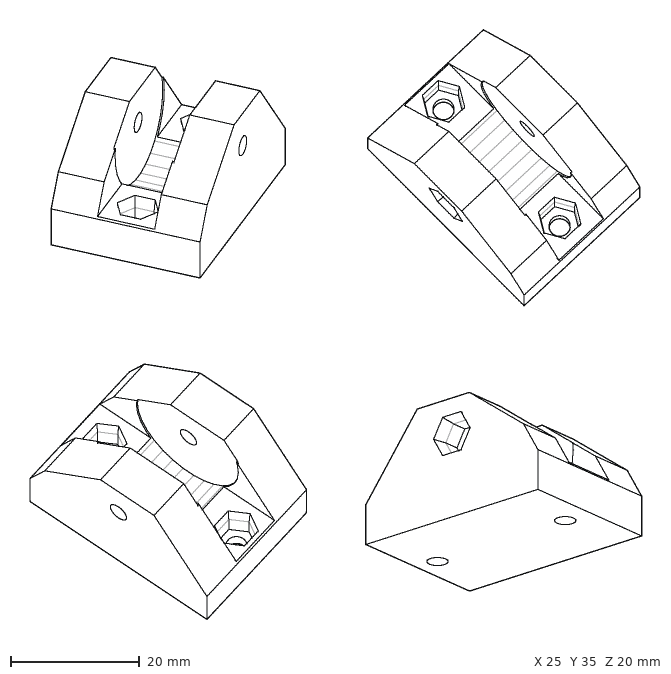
import cadquery as cq
import math

WIDTH = 25.0
LENGTH = 35.0
HEIGHT = 20.0

SHOULDER_Z = 6.7
TOP_FRONT_Y = -3.55
TOP_BACK_Y = 7.05
BREAK_Y = -14.55
BREAK_Z = 11.8

CHANNEL_WIDTH = 9.6
CHANNEL_FLOOR_Z = 7.05
RECESS_WIDTH = 10.1
RECESS_RADIUS = 10.08
RECESS_SIDES = 30
AXLE_Z = 14.0

NUT_SIDES = 6
NUT_RADIUS = 3.2
NUT_POCKET_DEPTH = 5.0

AXLE_BOLT_DIAMETER = 3.2
AXLE_MOUTH_RADIUS = 3.7
AXLE_LEAD_IN = 2.3

SCREW_DIAMETER = 3.3
SCREW_MOUTH_RADIUS = 3.43
SCREW_LEAD_IN = 2.1
SCREW_PITCH = 25.97
SCREW_MID_Y = 0.5


def regular_polygon(sides, radius):
    """Corner points of a regular polygon, with the first corner on the local x axis."""
    step = 2 * math.pi / sides
    return [(radius * math.cos(i * step), radius * math.sin(i * step)) for i in range(sides)]


def make_body():
    """Block with a sloping front and back, extruded along X."""
    half_length = LENGTH / 2
    profile = [
        (-half_length, 0),
        (half_length, 0),
        (half_length, SHOULDER_Z),
        (TOP_BACK_Y, HEIGHT),
        (TOP_FRONT_Y, HEIGHT),
        (BREAK_Y, BREAK_Z),
        (-half_length, SHOULDER_Z),
    ]
    return cq.Workplane("YZ").polyline(profile).close().extrude(WIDTH / 2, both=True)


def make_channel():
    """Open-topped slot that runs the whole length of the block."""
    return cq.Workplane("XY", origin=(0, 0, CHANNEL_FLOOR_Z)).box(
        CHANNEL_WIDTH, LENGTH, HEIGHT - CHANNEL_FLOOR_Z, centered=(True, True, False)
    )


def make_wheel_recess():
    """Polygonal drum around the axle, slightly wider than the channel."""
    corners = regular_polygon(RECESS_SIDES, RECESS_RADIUS)
    return (
        cq.Workplane("YZ", origin=(0, 0, AXLE_Z))
        .polyline(corners)
        .close()
        .extrude(RECESS_WIDTH / 2, both=True)
    )


def make_nut_hole(mouth_plane, mouth_radius, lead_in_depth, bolt_diameter, hole_length):
    """Bolt hole with a hexagonal nut pocket and a tapered lead-in, cut along the plane's normal."""
    lead_in = (
        cq.Workplane(mouth_plane)
        .polyline(regular_polygon(NUT_SIDES, mouth_radius))
        .close()
        .workplane(offset=lead_in_depth)
        .polyline(regular_polygon(NUT_SIDES, NUT_RADIUS))
        .close()
        .loft(ruled=True)
    )
    pocket = (
        cq.Workplane(mouth_plane)
        .polyline(regular_polygon(NUT_SIDES, NUT_RADIUS))
        .close()
        .extrude(NUT_POCKET_DEPTH)
    )
    hole = cq.Workplane(mouth_plane).circle(bolt_diameter / 2).extrude(hole_length)
    return lead_in.union(pocket).union(hole)


result = make_body().cut(make_channel()).cut(make_wheel_recess())

axle_plane = cq.Plane(origin=(-WIDTH / 2, 0, AXLE_Z), xDir=(0, 1, 0), normal=(1, 0, 0))
result = result.cut(
    make_nut_hole(axle_plane, AXLE_MOUTH_RADIUS, AXLE_LEAD_IN, AXLE_BOLT_DIAMETER, WIDTH)
)

for side in (-1, 1):
    screw_y = SCREW_MID_Y + side * SCREW_PITCH / 2
    screw_plane = cq.Plane(origin=(0, screw_y, CHANNEL_FLOOR_Z), xDir=(1, 0, 0), normal=(0, 0, -1))
    result = result.cut(
        make_nut_hole(screw_plane, SCREW_MOUTH_RADIUS, SCREW_LEAD_IN, SCREW_DIAMETER, CHANNEL_FLOOR_Z)
    )